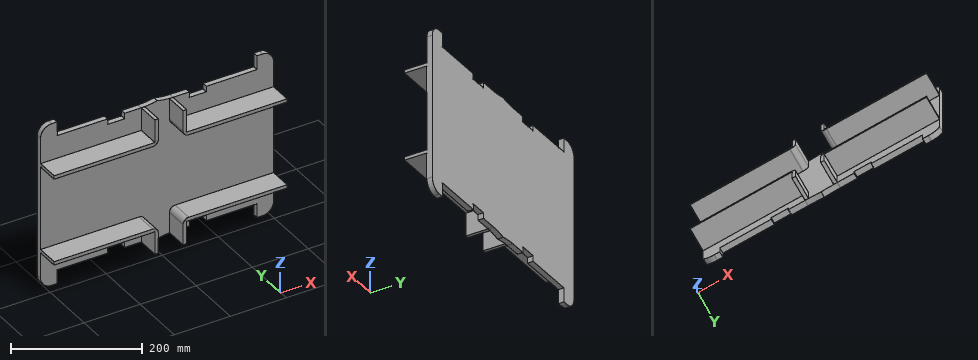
import cadquery as cq
import math

length = 416.0
height = 294.0
total_depth = 50.0
plate_thickness = 10.0
body_height = 244.0
ear_width = 30.0
ear_radius = 20.0

notch_width = 30.0
notch_depth = 10.0
notch_center = 73.0
peak_height = 3.5

rib_thickness = 6.2
rib_inner_x = 22.0
rib_inner_z = 75.0
rib_radius = 10.0

half_length = length / 2
peak_half_width = rib_inner_x + rib_thickness
half_body = body_height / 2
rib_depth = total_depth - plate_thickness


def xz_block(x_min, x_max, z_min, z_max, y_min, depth):
    """Box given by its X and Z limits, running from y_min towards +Y."""
    return cq.Workplane("XY").box(
        x_max - x_min, depth, z_max - z_min, centered=False
    ).translate((x_min, y_min, z_min))


def make_plate():
    plate = xz_block(-half_length, half_length, -height / 2, height / 2, 0, plate_thickness)
    plate = plate.edges("|Y").fillet(ear_radius)
    ear_inner_x = half_length - ear_width
    ear_height = (height - body_height) / 2
    for z_min in (half_body, -height / 2):
        plate = plate.cut(
            xz_block(-ear_inner_x, ear_inner_x, z_min, z_min + ear_height, 0, plate_thickness)
        )
    return plate


def make_peak(side):
    """Point on the top (+1) or bottom (-1) edge, formed by two arcs that leave the edge tangentially."""
    edge_z = side * half_body
    peak_z = side * (half_body + peak_height)
    arc_radius = (peak_half_width**2 + peak_height**2) / (2 * peak_height)
    arc_middle_x = peak_half_width / 2
    arc_rise = arc_radius - math.sqrt(arc_radius**2 - arc_middle_x**2)
    arc_middle_z = side * (half_body + arc_rise)
    half_peak = (
        cq.Workplane("XZ")
        .moveTo(0, 0)
        .lineTo(peak_half_width, 0)
        .lineTo(peak_half_width, edge_z)
        .threePointArc((arc_middle_x, arc_middle_z), (0, peak_z))
        .close()
        .extrude(-plate_thickness)
    )
    return half_peak.union(half_peak.mirror("YZ"))


def make_notch(side_x, side_z):
    """Cutter straddling the long edge, so half of its height enters the plate."""
    return (
        cq.Workplane("XY")
        .box(notch_width, plate_thickness, 2 * notch_depth, centered=(True, False, True))
        .translate((side_x * notch_center, 0, side_z * half_body))
    )


def make_rib():
    """L-shaped rib of the +X, +Z quarter, with its outer bend rounded."""
    outer = xz_block(rib_inner_x, half_length, rib_inner_z, half_body, -rib_depth, rib_depth)
    outer = outer.edges("|Y and <X and <Z").fillet(rib_radius)
    pocket = xz_block(
        rib_inner_x + rib_thickness, half_length,
        rib_inner_z + rib_thickness, half_body,
        -rib_depth, rib_depth,
    )
    return outer.cut(pocket)


result = make_plate()
for side in (1, -1):
    result = result.union(make_peak(side))
    for side_x in (1, -1):
        result = result.cut(make_notch(side_x, side))

right_ribs = make_rib().union(make_rib().mirror("XY"))
result = result.union(right_ribs).union(right_ribs.mirror("YZ"))
result = result.translate((0, rib_depth - total_depth / 2, 0))